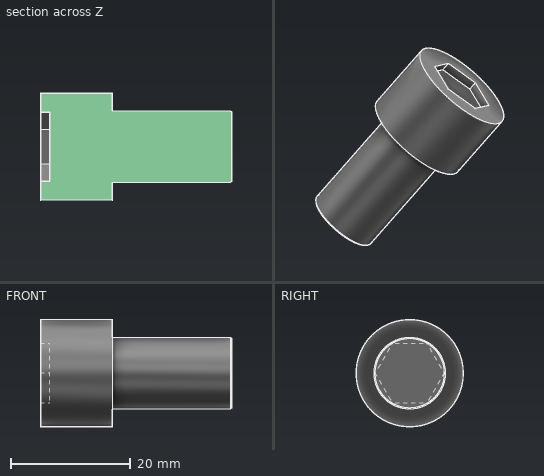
import cadquery as cq
import math

thread_diameter = 12.0
shank_length = 20.0
head_diameter = 18.0
head_length = thread_diameter
tip_chamfer = 0.2
socket_sides = 6
socket_across_flats = 10.0
socket_depth = 1.5


def rod(start_x, diameter, length):
    """Cylinder along +X that begins at start_x."""
    return cq.Workplane("YZ", origin=(start_x, 0, 0)).circle(diameter / 2).extrude(length)


def make_head():
    return rod(-head_length, head_diameter, head_length)


def make_shank():
    return rod(0, thread_diameter, shank_length).faces(">X").chamfer(tip_chamfer)


def make_socket():
    """Hexagonal prism with two corners on the Y axis, sunk into the head face."""
    across_corners = socket_across_flats / math.cos(math.pi / socket_sides)
    head_face = cq.Workplane("YZ", origin=(-head_length, 0, 0))
    return head_face.polygon(socket_sides, across_corners).extrude(socket_depth)


result = make_head().union(make_shank()).cut(make_socket())